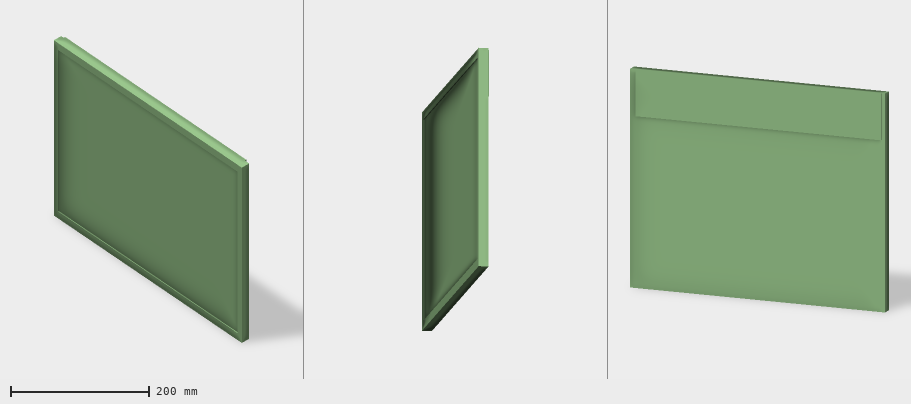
import cadquery as cq

width = 400.0
height = 325.0
total_depth = 17.0

block_depth = 3.0
block_height = 69.0
block_left_inset = 5.0
block_right_inset = 9.0

side_border = 9.0
end_border = 13.0
recess_depth = 1.5

body_depth = total_depth - block_depth


def corner_box(x_size, y_size, z_size, corner):
    """Box spanning the given sizes from its minimum corner."""
    return cq.Workplane("XY").box(x_size, y_size, z_size, centered=False).translate(corner)


body = corner_box(width, body_depth, height, (0, 0, 0))

back_block = corner_box(
    width - block_left_inset - block_right_inset,
    block_depth,
    block_height,
    (block_left_inset, body_depth, height - block_height),
)

screen_recess = corner_box(
    width - 2 * side_border,
    recess_depth,
    height - 2 * end_border,
    (side_border, 0, end_border),
)

result = body.union(back_block).cut(screen_recess)